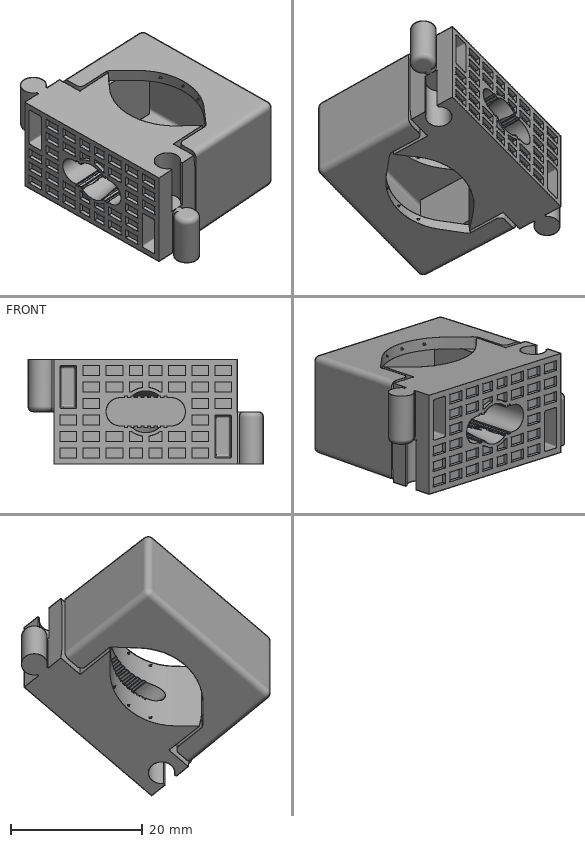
import cadquery as cq
import math


base_width = 28.0
base_height = 16.0
half_width = base_width / 2
half_height = base_height / 2
bore_radius = 10.0
plate_thickness = 2.0

shoulder_y = 8.05
base_bore_low_y = 8.58
base_bore_y = base_bore_low_y + bore_radius
base_flank_angle = 45.0
tongue_half_width = 10.0
core_half_width = 11.8
core_half_height = 5.3
shoulder_relief = 0.25
arm_top_y = 23.65

knuckle_radius = 1.97
overall_width = 35.88
knuckle_x = overall_width / 2 - knuckle_radius
knuckle_y = 4.05
knuckle_fillet = 0.8
neck_width = 2.05
socket_radius = 2.0
socket_x = 12.0
socket_mouth = 2.35

pocket_depth = 0.6
pocket_height = 1.55
row_pitch = 2.5
row_count = 6
row_zs = [row_pitch * (row - (row_count - 1) / 2) for row in range(row_count)]
columns = [(11.8, 2.55), (8.3, 2.5), (4.77, 2.55), (1.5, 2.0)]
end_pocket_rows = 3
end_pocket_depth = 6.0
end_pocket_taper = 2.5
end_pocket_corner = 0.3

slot_length = 12.1
slot_width = 4.3
groove_count = 7
groove_pitch = 1.0
groove_width = groove_pitch / 2
groove_depth = 0.2
countersink_radius = 3.2
countersink_width = 3.95
screw_boss_radius = 3.73

lid_width = 27.63
lid_bottom_y = 8.45
lid_top_y = 26.0
lid_draft = 0.5
lid_fillet = 1.0
lid_bore_high_y = 20.45
lid_bore_y = lid_bore_high_y - bore_radius
lid_flank_angle = 43.0
cavity_top_y = 24.9
cavity_half_height = half_height - plate_thickness
cavity_fillet = 0.55
mouth_half_width = 10.23
mouth_corner_x = 9.85
mouth_corner_drop = 0.57
leg_fillet = 0.9

spike_radius = 0.18
spike_height = 0.35
spike_root = 0.18
spike_angle = 23.5
spike_z = half_height - plate_thickness / 2


def box(x_range, y_range, z_range):
    """Box between the given limits along each axis."""
    lows, highs = zip(x_range, y_range, z_range)
    sizes = [high - low for low, high in zip(lows, highs)]
    return cq.Workplane("XY").box(*sizes, centered=False).translate(lows)


def front_plane():
    """Sketch plane on the mounting face, with positive extrusion into the block."""
    return cq.Workplane(cq.Plane(origin=(0, 0, 0), xDir=(-1, 0, 0), normal=(0, 1, 0)))


def half_turn(shape):
    """The same shape turned half a turn about Y."""
    return shape.rotate((0, 0, 0), (0, 1, 0), 180)


def both_sides(shape):
    """The shape together with its mirror images in X and Z."""
    pair = shape.union(shape.mirror("YZ"))
    return pair.union(pair.mirror("XY"))


def flank_y(x, center_y, angle, side):
    """Height at x of the straight flank leaving the bore arc at the given slope."""
    slope = math.radians(angle)
    return center_y + side * (bore_radius - x * math.sin(slope)) / math.cos(slope)


def bore_cutter(center_y, angle, side, end_x, open_y):
    """Arc with two tangent flanks, open away from the arc; side is +1 for an arc on top."""
    slope = math.radians(angle)
    tangent_x = bore_radius * math.sin(slope)
    tangent_y = center_y + side * bore_radius * math.cos(slope)
    end_y = flank_y(end_x, center_y, angle, side)
    return (
        cq.Workplane("XY", origin=(0, 0, -half_height))
        .moveTo(-end_x, open_y)
        .lineTo(-end_x, end_y)
        .lineTo(-tangent_x, tangent_y)
        .threePointArc((0, center_y + side * bore_radius), (tangent_x, tangent_y))
        .lineTo(end_x, end_y)
        .lineTo(end_x, open_y)
        .close()
        .extrude(base_height)
    )


def spikes(center_y, side):
    """Three small cones in each end plate, pointing along Y into the bore."""
    cones = cq.Workplane("XY")
    tip_to_root = spike_height + spike_root
    for angle in (-spike_angle, 0, spike_angle):
        x = bore_radius * math.sin(math.radians(angle))
        y = center_y + side * (bore_radius * math.cos(math.radians(angle)) + spike_root)
        for z in (-spike_z, spike_z):
            cone = cq.Solid.makeCone(
                spike_radius * tip_to_root / spike_height, 0, tip_to_root,
                cq.Vector(x, y, z), cq.Vector(0, -side, 0),
            )
            cones = cones.add(cone)
    return cones.combine()


def shoulder_relief_cutter():
    """Corner above one shoulder, next to the core, which deepens toward the end face."""
    def corner(relief):
        inner_x = tongue_half_width - relief
        low_y = shoulder_y - relief
        return [(inner_x, low_y), (half_width, low_y), (half_width, lid_top_y), (inner_x, lid_top_y)]

    return (
        cq.Workplane("XY", origin=(0, 0, core_half_height))
        .polyline(corner(0))
        .close()
        .workplane(offset=half_height - core_half_height)
        .polyline(corner(shoulder_relief))
        .close()
        .loft(ruled=True)
    )


def base_body():
    """Block with a full-height tongue, and a core with two arms that reach into the lid."""
    block = box((-half_width, half_width), (0, shoulder_y), (-half_height, half_height))
    tongue = box(
        (-tongue_half_width, tongue_half_width), (0, base_bore_y), (-half_height, half_height)
    )
    core = box(
        (-core_half_width, core_half_width), (0, arm_top_y), (-core_half_height, core_half_height)
    )
    body = block.union(tongue).union(core).cut(both_sides(shoulder_relief_cutter()))
    return body.cut(bore_cutter(base_bore_y, base_flank_angle, -1, tongue_half_width, lid_top_y))


def right_knuckle():
    """Vertical barrel on a neck at the lower half of the +X side, with a rounded top end."""
    barrel = (
        cq.Workplane("XY", origin=(knuckle_x, knuckle_y, -half_height))
        .circle(knuckle_radius)
        .extrude(half_height)
        .faces(">Z").edges().fillet(knuckle_fillet)
    )
    neck = box(
        (socket_x, knuckle_x),
        (knuckle_y - neck_width / 2, knuckle_y + neck_width / 2),
        (-half_height, 0),
    )
    neck = neck.edges("|X and >Z").fillet(knuckle_fillet)
    return barrel.union(neck)


def right_socket():
    """Round socket, open to the +X side, in the upper half of the block."""
    seat = (
        cq.Workplane("XY", origin=(socket_x, knuckle_y, 0))
        .circle(socket_radius)
        .extrude(half_height)
    )
    mouth = box(
        (socket_x, half_width),
        (knuckle_y - socket_mouth / 2, knuckle_y + socket_mouth / 2),
        (0, half_height),
    )
    return seat.union(mouth)


def pocket(x, z, width):
    """One shallow rectangular pocket in the mounting face."""
    return box(
        (x - width / 2, x + width / 2),
        (0, pocket_depth),
        (z - pocket_height / 2, z + pocket_height / 2),
    )


def face_pockets():
    """Grid of shallow pockets, clear of the end pockets and of the screw slot."""
    pockets = cq.Workplane("XY")
    for x, width in columns:
        for z in row_zs:
            beside_slot = x < slot_length / 2 and abs(z) < row_pitch
            if beside_slot:
                continue
            for side in (-1, 1):
                at_end_pocket = x == columns[0][0] and side * z < 0
                if not at_end_pocket:
                    pockets = pockets.add(pocket(side * x, z, width))
    boss = front_plane().circle(screw_boss_radius).extrude(pocket_depth)
    return pockets.combine().cut(boss)


def left_end_pocket():
    """Deep tapered pocket beside the left knuckle, as tall as three grid rows."""
    x, width = columns[0]
    height = (end_pocket_rows - 1) * row_pitch + pocket_height
    return (
        front_plane()
        .center(x, row_zs[-2])
        .rect(width, height)
        .extrude(end_pocket_depth, taper=end_pocket_taper)
        .edges("not <Y")
        .fillet(end_pocket_corner)
    )


def screw_slot():
    """Long slot through the base, with grooved sides and a tapered seat at its middle."""
    slot = front_plane().slot2D(slot_length, slot_width).extrude(base_bore_y)
    groove_reach = slot_width / 2 + groove_depth
    for number in range(groove_count):
        x = (number - (groove_count - 1) / 2) * groove_pitch
        slot = slot.union(box(
            (x - groove_width / 2, x + groove_width / 2),
            (0, base_bore_y),
            (-groove_reach, groove_reach),
        ))
    seat = cq.Workplane(obj=cq.Solid.makeCone(
        countersink_radius, slot_width / 2, base_bore_low_y, cq.Vector(0, 0, 0), cq.Vector(0, 1, 0)
    ))
    seat = seat.intersect(box(
        (-countersink_width / 2, countersink_width / 2),
        (0, base_bore_low_y),
        (-half_height, half_height),
    ))
    return slot.union(seat)


def make_base():
    """Lower clamp half with its hinge parts, pockets and screw slot."""
    body = base_body()
    body = body.union(right_knuckle()).union(half_turn(right_knuckle()))
    body = body.cut(right_socket()).cut(half_turn(right_socket()))
    body = body.cut(face_pockets())
    body = body.cut(left_end_pocket()).cut(half_turn(left_end_pocket()))
    return body.cut(screw_slot()).union(spikes(base_bore_y, -1))


def lid_shell():
    """Drafted, rounded cap with a cavity open at the bottom."""
    cap = (
        cq.Workplane(cq.Plane(origin=(0, lid_bottom_y, 0), xDir=(-1, 0, 0), normal=(0, 1, 0)))
        .rect(lid_width, base_height)
        .extrude(lid_top_y - lid_bottom_y, taper=lid_draft)
        .edges("not <Y")
        .fillet(lid_fillet)
    )
    cavity = box(
        (-core_half_width, core_half_width),
        (lid_bottom_y, cavity_top_y),
        (-cavity_half_height, cavity_half_height),
    )
    return cap.cut(cavity.edges("|X and >Y").fillet(cavity_fillet))


def lid_mouth():
    """Clearance between the lid legs, narrowing at its top to the foot of the bore flanks."""
    corner_y = flank_y(mouth_corner_x, lid_bore_y, lid_flank_angle, 1)
    step_y = corner_y - mouth_corner_drop
    return (
        cq.Workplane("XY", origin=(0, 0, -half_height))
        .moveTo(-mouth_half_width - leg_fillet, lid_bottom_y)
        .radiusArc((-mouth_half_width, lid_bottom_y + leg_fillet), -leg_fillet)
        .lineTo(-mouth_half_width, step_y)
        .lineTo(-mouth_corner_x, corner_y)
        .lineTo(mouth_corner_x, corner_y)
        .lineTo(mouth_half_width, step_y)
        .lineTo(mouth_half_width, lid_bottom_y + leg_fillet)
        .radiusArc((mouth_half_width + leg_fillet, lid_bottom_y), -leg_fillet)
        .close()
        .extrude(base_height)
    )


def make_lid():
    """Upper clamp half: a cap whose end plates carry the bore."""
    bore = bore_cutter(lid_bore_y, lid_flank_angle, 1, mouth_corner_x, lid_bottom_y)
    lid = lid_shell().cut(lid_mouth()).cut(bore)
    return lid.union(spikes(lid_bore_y, 1))


base = make_base()
lid = make_lid()
result = cq.Compound.makeCompound([base.val(), lid.val()])